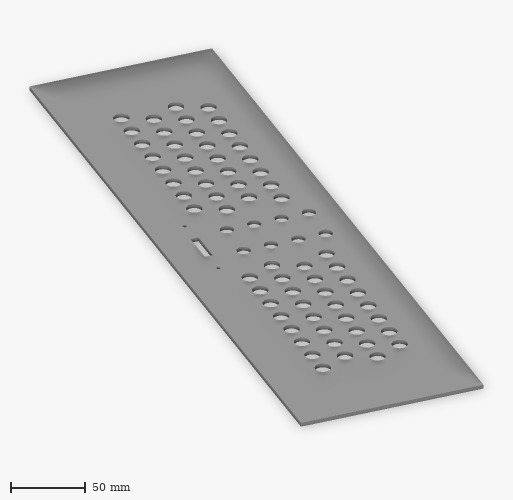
import cadquery as cq

plate_length = 482.0
plate_width = 133.0
plate_thickness = 3.0

large_diameter = 11.0
holes_per_row = 8
row_length = 129.5
column_pitch = row_length / (holes_per_row - 1)
stagger = column_pitch / 2
inner_hole_x = 40.0
large_field_y = 5.0

small_diameter = 9.5
small_column_x = 15.0
small_field_y = 14.5

row_count = 4
rows_height = 60.0
row_pitch = rows_height / (row_count - 1)

slot_length = 25.5
slot_width = 6.0
slot_y = -40.0
pin_diameter = 3.0
pin_x = 30.0


def row_heights(center_y):
    """Y of each row from top to bottom, centred on center_y."""
    top_y = center_y + rows_height / 2
    return [top_y - row * row_pitch for row in range(row_count)]


def mirrored(points):
    """The points together with their reflections across the YZ plane."""
    return points + [(-x, y) for x, y in points]


def large_hole_points():
    """Hole centres on the +X half; every second row is shifted outward."""
    points = []
    for row, y in enumerate(row_heights(large_field_y)):
        start_x = inner_hole_x + stagger * (row % 2)
        points += [(start_x + column * column_pitch, y) for column in range(holes_per_row)]
    return points


def drill(plate, points, diameter):
    """Cut through holes at the points and at their mirror images."""
    return plate.faces(">Z").workplane(origin=(0, 0, 0)).pushPoints(mirrored(points)).hole(diameter)


def cut_slot(plate):
    """Cut the rectangular slot through the plate."""
    slot = cq.Workplane("XY").box(slot_length, slot_width, plate_thickness)
    return plate.cut(slot.translate((0, slot_y, 0)))


small_hole_points = [(small_column_x, y) for y in row_heights(small_field_y)]

plate = cq.Workplane("XY").box(plate_length, plate_width, plate_thickness)
plate = drill(plate, large_hole_points(), large_diameter)
plate = drill(plate, small_hole_points, small_diameter)
plate = drill(plate, [(pin_x, slot_y)], pin_diameter)
result = cut_slot(plate)